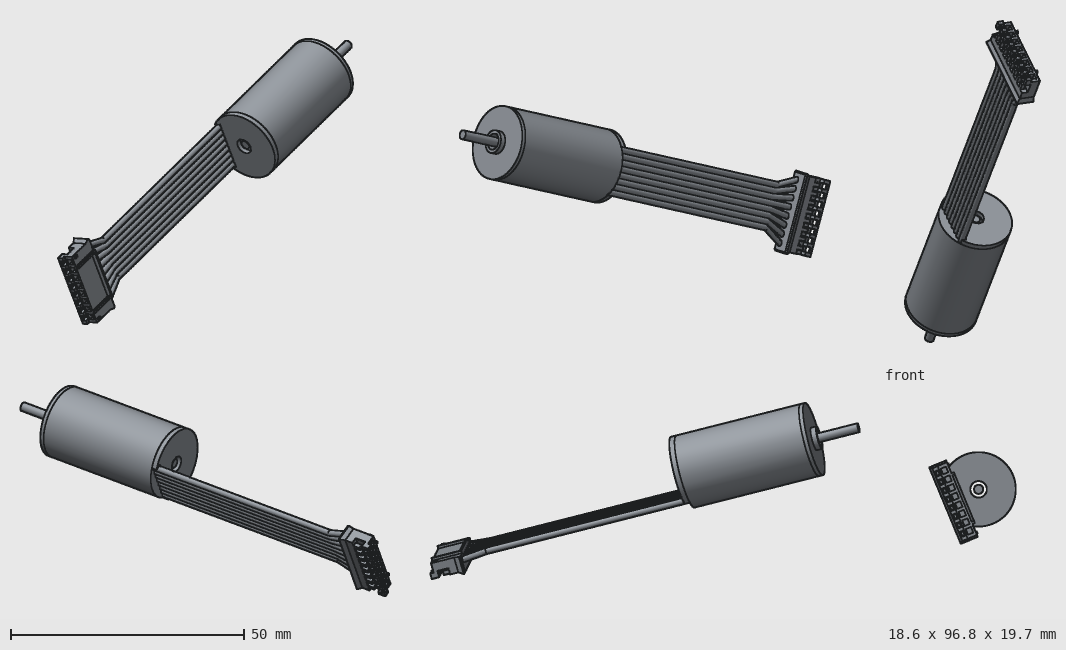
import cadquery as cq


motor_diameter = 16.0
motor_length = 30.0
flange_thickness = 0.9
rear_cap_thickness = 1.2
boss_diameter = 5.0
boss_height = 1.2
bore_diameter = 3.5
rear_cap_front_y = rear_cap_thickness - motor_length

shaft_diameter = 2.0
shaft_end_y = 10.0
shaft_rear_recess = 0.5
shaft_length = shaft_end_y + motor_length - shaft_rear_recess

cable_tilt = 22.5
wire_count = 8
wire_diameter = 1.37
ribbon_pitch = 1.35
straight_wire = 3
wire_x = -5.2
wire_embedding = 0.1
bend_y = -74.4
plug_back_y = -79.3

plug_pitch = 2.0
plug_center_z = -0.47
plug_front_y = -86.77
thin_front_y = -86.0
flange_length = 17.76
flange_end_overhang = 0.45
flange_outer_overhang = 0.55
flange_edge_height = 0.4
flange_taper_height = 1.1
flange_chamfer = 0.3
plug_length = flange_length - 2 * flange_end_overhang
outer_face_x = -7.45
inner_face_x = -4.05
front_step_x = -6.2

rail_height = 0.55
rail_width = 0.5
rail_span = 11.8
lip_edge_height = 0.4
lip_taper_height = 0.5
snag_size = 0.5
snag_height = 0.25
snag_length = 0.8
snag_front_y = -85.4
snag_end_inset = 0.3

groove_back_y = -82.65
groove_front_y = -85.1
groove_depth = 1.4
tongue_front_y = -84.2
tongue_thickness = 0.95
tongue_width = 0.8
lip_slot_width = 1.2
lip_skin = 0.35
lip_bar_back_y = -86.2

cavity_width = 1.3
cavity_thickness = 1.2
cavity_depth = 5.5


def cylinder_along_y(diameter, start_y, end_y):
    return cq.Workplane("XZ", origin=(0, start_y, 0)).circle(diameter / 2).extrude(start_y - end_y)


def block(x_range, y_range, z_range):
    sizes = [abs(end - start) for start, end in (x_range, y_range, z_range)]
    centers = [(start + end) / 2 for start, end in (x_range, y_range, z_range)]
    return cq.Workplane("XY").box(*sizes).translate(tuple(centers))


def span(center, width):
    return (center - width / 2, center + width / 2)


def tilt(body):
    return body.rotate((0, 0, 0), (0, 1, 0), -cable_tilt)


plug_wire_z = [plug_center_z + ((wire_count - 1) / 2 - i) * plug_pitch for i in range(wire_count)]
ribbon_wire_z = [plug_wire_z[straight_wire] + (straight_wire - i) * ribbon_pitch for i in range(wire_count)]


def make_front_flange():
    flange = cylinder_along_y(motor_diameter, 0, -flange_thickness)
    flange = flange.union(cylinder_along_y(boss_diameter, boss_height, 0))
    return flange.cut(cylinder_along_y(bore_diameter, boss_height, -flange_thickness))


def make_casing():
    casing = cylinder_along_y(motor_diameter, -flange_thickness, rear_cap_front_y)
    return casing.cut(cylinder_along_y(bore_diameter, -flange_thickness, rear_cap_front_y))


def make_shaft():
    return cylinder_along_y(shaft_diameter, shaft_end_y, shaft_end_y - shaft_length)


def make_rear_cap():
    cap = cylinder_along_y(motor_diameter, rear_cap_front_y, -motor_length)
    cap = cap.cut(cylinder_along_y(bore_diameter, rear_cap_front_y, -motor_length))
    notch = block(
        (-motor_diameter / 2, wire_x + wire_diameter / 2 - wire_embedding),
        (-motor_length, rear_cap_front_y),
        (ribbon_wire_z[-1] - wire_diameter / 2, ribbon_wire_z[0] + wire_diameter / 2),
    )
    return cap.cut(tilt(notch))


def make_wire(ribbon_z, plug_z):
    straight = cylinder_along_y(wire_diameter, rear_cap_front_y, bend_y).translate((wire_x, 0, ribbon_z))
    slanted = (
        cq.Workplane("XZ", origin=(wire_x, bend_y, ribbon_z))
        .circle(wire_diameter / 2)
        .workplane(offset=bend_y - plug_back_y)
        .center(0, plug_z - ribbon_z)
        .circle(wire_diameter / 2)
        .loft(ruled=True)
    )
    return straight.union(slanted)


def make_plug_flange():
    edge_y = plug_back_y - flange_edge_height
    flange_x = (outer_face_x - flange_outer_overhang, inner_face_x)
    edge = block(flange_x, (plug_back_y, edge_y), span(plug_center_z, flange_length))
    edge = edge.faces(">Y").edges("<X or <Z or >Z").chamfer(flange_chamfer)
    outer_width = flange_x[1] - flange_x[0]
    body_width = inner_face_x - outer_face_x
    taper = (
        cq.Workplane("XZ", origin=(sum(flange_x) / 2, edge_y, plug_center_z))
        .rect(outer_width, flange_length)
        .workplane(offset=flange_taper_height)
        .center((outer_width - body_width) / 2, 0)
        .rect(body_width, plug_length)
        .loft(ruled=True)
    )
    return edge.union(taper)


def make_plug_rails():
    rail_x = (inner_face_x, inner_face_x + rail_height)
    rails = (
        cq.Workplane("XY", origin=(0, 0, plug_center_z - rail_span / 2))
        .moveTo(inner_face_x, plug_back_y)
        .lineTo(inner_face_x + rail_height, plug_back_y)
        .lineTo(inner_face_x + rail_height, plug_back_y - lip_edge_height)
        .lineTo(inner_face_x, plug_back_y - lip_edge_height - lip_taper_height)
        .close()
        .extrude(rail_span)
    )
    for side in (-1, 1):
        rail_z = plug_center_z + side * (rail_span - rail_width) / 2
        rails = rails.union(block(rail_x, (plug_back_y, thin_front_y), span(rail_z, rail_width)))
        snag_z = plug_center_z + side * (plug_length / 2 - snag_end_inset - snag_size / 2)
        snag = block(
            (inner_face_x, inner_face_x + snag_height),
            (snag_front_y, snag_front_y + snag_length),
            span(snag_z, snag_size),
        )
        rails = rails.union(snag)
    return rails


def make_plug():
    body_z = span(plug_center_z, plug_length)
    plug = block((outer_face_x, inner_face_x), (plug_back_y, thin_front_y), body_z)
    plug = plug.union(block((outer_face_x, front_step_x), (thin_front_y, plug_front_y), body_z))
    plug = plug.union(make_plug_flange()).union(make_plug_rails())

    groove_floor_x = outer_face_x + groove_depth
    plug = plug.cut(block((outer_face_x, groove_floor_x), (groove_back_y, groove_front_y), body_z))
    for wire_z in plug_wire_z:
        slot_z = span(wire_z, lip_slot_width)
        slot = block((outer_face_x + lip_skin, front_step_x), (groove_front_y, plug_front_y), slot_z)
        window = block((outer_face_x, outer_face_x + lip_skin), (groove_front_y, lip_bar_back_y), slot_z)
        cavity = block(
            span(wire_x, cavity_thickness),
            (thin_front_y, thin_front_y + cavity_depth),
            span(wire_z, cavity_width),
        )
        tongue = block(
            (outer_face_x, outer_face_x + tongue_thickness),
            (groove_back_y, tongue_front_y),
            span(wire_z, tongue_width),
        )
        plug = plug.cut(slot).cut(window).cut(cavity).union(tongue)
    return plug


def make_rear_cap_with_cable():
    cable = make_plug()
    for ribbon_z, plug_z in zip(ribbon_wire_z, plug_wire_z):
        cable = cable.union(make_wire(ribbon_z, plug_z))
    return make_rear_cap().union(tilt(cable))


front_flange = make_front_flange()
casing = make_casing()
shaft = make_shaft()
rear_cap_with_cable = make_rear_cap_with_cable()

result = cq.Compound.makeCompound(
    [front_flange.val(), casing.val(), shaft.val(), rear_cap_with_cable.val()]
)